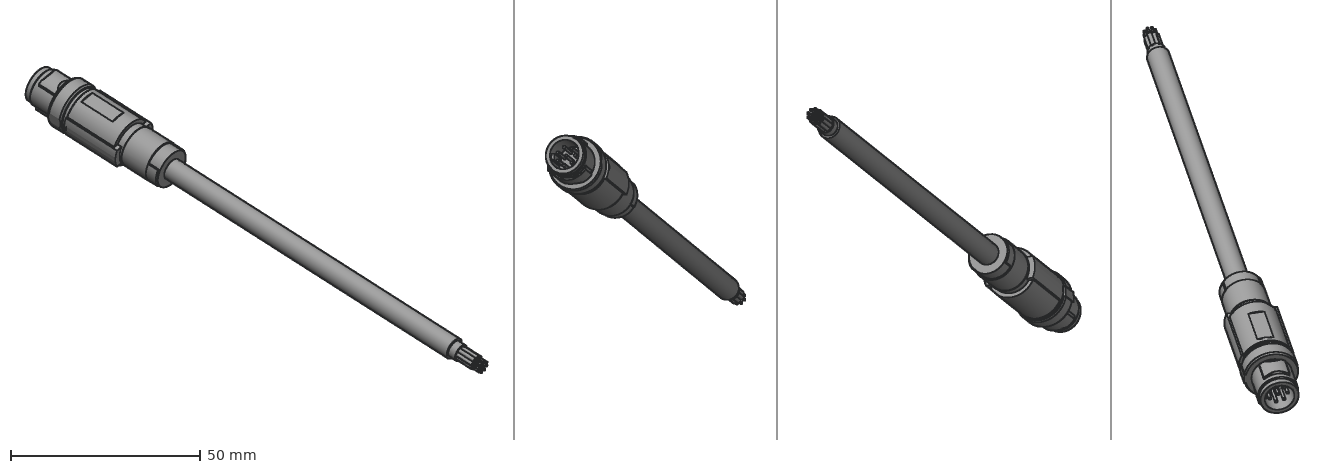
import cadquery as cq
import math


LENGTH = 157.3
TIP_END = 1.5
COLLAR_START = 9.6
COLLAR_END = 14.5
GRIP_START = 15.7
GRIP_END = 32.4
PAD_END = 33.8
NECK_END = 34.6
BODY_END = 43.3
TAIL_END = 47.2
JACKET_END = 147.0
SHIELD_END = 149.5
WIRE_END = 155.0

TIP_RADIUS = 5.2
NOSE_CHAMFER = 0.3
NOSE_RADIUS = 5.5
COLLAR_RADIUS = 7.4
GAP_RADIUS = 6.6
GRIP_RADIUS = 14.0 / 2
NECK_RADIUS = 5.8
BODY_RADIUS = 6.0
TAIL_RADIUS = 11.2 / 2
JACKET_RADIUS = 6.1 / 2
SHIELD_RADIUS = 4.9 / 2

COLLAR_CHAMFER_LENGTH = 0.6
COLLAR_CHAMFER_DEPTH = 0.3
COLLAR_FLAT_WIDTH = 3.1
COLLAR_MARK_WIDTH = 2.8

MOUTH_RADIUS = 8.0 / 2
MOUTH_DEPTH = 7.9
KEY_WIDTH = 1.7
KEY_HEIGHT = 0.8
KEY_START = 1.4
PIN_RADIUS = 0.4
PIN_START = 1.5
RING_PIN_COUNT = 7
PIN_CIRCLE = 2.5

LUG_RADIUS = 12.1 / 2
LUG_START = 3.3
LUG_END = 9.0
LUG_FRONT_RAMP = 0.5
LUG_REAR_RAMP = 1.0
TOP_LUG_WIDTH = 7.0
BOTTOM_LUG_WIDTH = 9.8

PAD_RADIUS = 15.0 / 2
PAD_WIDTH = 6.1
PAD_FLAT_WIDTH = 1.4
PAD_FLAT_START = 16.4
LABEL_START = 17.1
LABEL_END = 28.2
LABEL_WIDTH = 4.4

TAIL_PAD_RADIUS = 11.8 / 2
TAIL_PAD_WIDTH = 6.1
TAIL_PAD_CHAMFER = 0.5

WIRE_RADIUS = 0.6
WIRE_CIRCLE = 1.54
RING_WIRE_COUNT = 8
STRAND_RADIUS = 0.3

OVERLAP = 0.5


def rod(start, end, radius, y=0.0, z=0.0):
    """Cylinder along X between two stations."""
    return cq.Workplane("YZ", origin=(start, y, z)).circle(radius).extrude(end - start)


def block(start, end, y_low, y_high, z_low, z_high):
    """Box given by its limits along each axis."""
    size = (end - start, y_high - y_low, z_high - z_low)
    return cq.Workplane("XY", origin=(start, y_low, z_low)).box(*size, centered=False)


def circle_points(count, radius, offset=0.0):
    """Evenly spaced (y, z) places; the first is on the -Y side, turned by offset steps."""
    angles = [2 * math.pi * (i + offset) / count for i in range(count)]
    return [(-radius * math.cos(a), radius * math.sin(a)) for a in angles]


def flat_distance(radius, width):
    """Distance from the axis to a flat of the given width cut on a cylinder."""
    return math.sqrt(radius**2 - (width / 2) ** 2)


def make_collar():
    """Locking collar with bevelled rims, a flat on the -Y side and a raised mark on the +Y side."""
    profile = [
        (COLLAR_START, 0),
        (COLLAR_START, COLLAR_RADIUS - COLLAR_CHAMFER_DEPTH),
        (COLLAR_START + COLLAR_CHAMFER_LENGTH, COLLAR_RADIUS),
        (COLLAR_END - COLLAR_CHAMFER_LENGTH, COLLAR_RADIUS),
        (COLLAR_END, COLLAR_RADIUS - COLLAR_CHAMFER_DEPTH),
        (COLLAR_END, 0),
    ]
    collar = cq.Workplane("XY").polyline(profile).close().revolve(360, (0, 0, 0), (1, 0, 0))
    half_flat = COLLAR_FLAT_WIDTH / 2
    flat = flat_distance(COLLAR_RADIUS, COLLAR_FLAT_WIDTH)
    collar = collar.cut(block(COLLAR_START, COLLAR_END, -COLLAR_RADIUS, -flat, -half_flat, half_flat))
    half_mark = COLLAR_MARK_WIDTH / 2
    return collar.union(block(COLLAR_START, COLLAR_END, GAP_RADIUS, PAD_RADIUS, -half_mark, half_mark))


def make_turned_body():
    """Round sections of the plug, grip, strain relief and cable, joined end to end."""
    sections = [
        (0, TIP_END, TIP_RADIUS),
        (COLLAR_END, GRIP_START, GAP_RADIUS),
        (GRIP_START, GRIP_END, GRIP_RADIUS),
        (GRIP_END, NECK_END, NECK_RADIUS),
        (NECK_END, BODY_END, BODY_RADIUS),
        (BODY_END, TAIL_END, TAIL_RADIUS),
        (TAIL_END, JACKET_END, JACKET_RADIUS),
        (JACKET_END, SHIELD_END, SHIELD_RADIUS),
    ]
    body = rod(TIP_END, COLLAR_START, NOSE_RADIUS).faces("<X").chamfer(NOSE_CHAMFER)
    body = body.union(make_collar())
    for start, end, radius in sections:
        body = body.union(rod(start, end, radius))
    return body


def make_lug(width, side):
    """Locking lug above (side = 1) or below (side = -1) the nose, with a ramp at each end."""
    base = flat_distance(NOSE_RADIUS, width) - OVERLAP
    profile = [
        (LUG_START, base),
        (LUG_START, NOSE_RADIUS),
        (LUG_START + LUG_FRONT_RAMP, LUG_RADIUS),
        (LUG_END - LUG_REAR_RAMP, LUG_RADIUS),
        (LUG_END, NOSE_RADIUS),
        (LUG_END, base),
    ]
    outline = [(x, side * z) for x, z in profile]
    wedge = cq.Workplane("XZ").polyline(outline).close().extrude(width / 2, both=True)
    return wedge.intersect(rod(LUG_START, LUG_END, LUG_RADIUS))


def make_grip_pads():
    """Raised pads on both sides of the grip, each with a narrow flat along its crest."""
    half = PAD_WIDTH / 2
    base = NECK_RADIUS - 2 * OVERLAP
    pads = rod(GRIP_START, PAD_END, PAD_RADIUS)
    pads = pads.intersect(block(GRIP_START, PAD_END, -PAD_RADIUS, PAD_RADIUS, -half, half))
    pads = pads.cut(block(GRIP_START, PAD_END, -base, base, -half, half))
    flat = flat_distance(PAD_RADIUS, PAD_FLAT_WIDTH)
    for low, high in [(flat, PAD_RADIUS), (-PAD_RADIUS, -flat)]:
        pads = pads.cut(block(PAD_FLAT_START, PAD_END, low, high, -half, half))
    return pads


def make_tail_pads():
    """Side pads on the strain relief, chamfered at the cable end."""
    half = TAIL_PAD_WIDTH / 2
    disc = rod(BODY_END, TAIL_END, TAIL_PAD_RADIUS).faces(">X").chamfer(TAIL_PAD_CHAMFER)
    limits = block(BODY_END, TAIL_END, -TAIL_PAD_RADIUS, TAIL_PAD_RADIUS, -half, half)
    return disc.intersect(limits)


def make_label_recess():
    """Flat for a label on top of the grip."""
    half = LABEL_WIDTH / 2
    flat = flat_distance(GRIP_RADIUS, LABEL_WIDTH)
    return block(LABEL_START, LABEL_END, -half, half, flat, GRIP_RADIUS)


def make_contacts():
    """Coding key on the +Y side of the mouth and a ring of pins around a centre pin."""
    half = KEY_WIDTH / 2
    contacts = block(
        KEY_START, MOUTH_DEPTH + OVERLAP, MOUTH_RADIUS - KEY_HEIGHT, MOUTH_RADIUS + OVERLAP, -half, half
    )
    for y, z in [(0, 0)] + circle_points(RING_PIN_COUNT, PIN_CIRCLE):
        contacts = contacts.union(rod(PIN_START, MOUTH_DEPTH + OVERLAP, PIN_RADIUS, y, z))
    return contacts


def add_wires(body):
    """Ring of insulated wires around a centre wire, each ending in a bare strand."""
    for y, z in [(0, 0)] + circle_points(RING_WIRE_COUNT, WIRE_CIRCLE, offset=0.5):
        body = body.union(rod(SHIELD_END - OVERLAP, WIRE_END, WIRE_RADIUS, y, z))
        body = body.union(rod(WIRE_END - OVERLAP, LENGTH, STRAND_RADIUS, y, z))
    return body


result = make_turned_body()
result = result.union(make_lug(TOP_LUG_WIDTH, 1))
result = result.union(make_lug(BOTTOM_LUG_WIDTH, -1))
result = result.union(make_grip_pads())
result = result.union(make_tail_pads())
result = result.cut(make_label_recess())
result = result.cut(rod(0, MOUTH_DEPTH, MOUTH_RADIUS))
result = result.union(make_contacts())
result = add_wires(result)